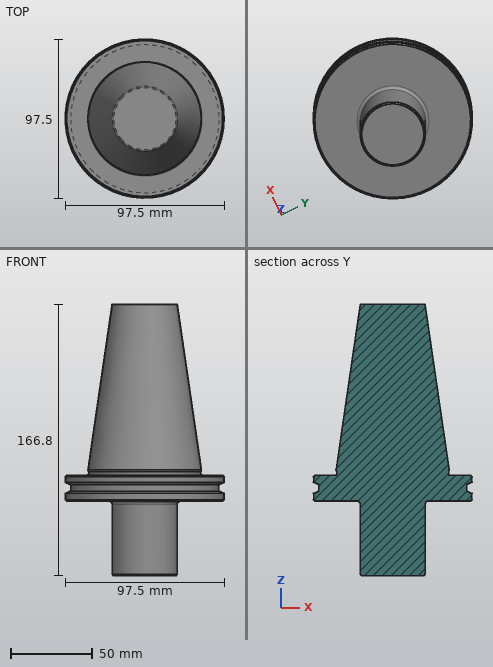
import cadquery as cq

total_height = 166.8
gauge_height = 65.0
flange_top = 61.9
flange_bottom = 45.9

taper_large_radius = 34.9
taper_rate = 7 / 24
taper_top_radius = taper_large_radius - (total_height - gauge_height) * taper_rate / 2
taper_top_round = 0.7

neck_radius = 34.5
neck_step_height = 1.0
neck_root_round = 0.7
neck_top = gauge_height - neck_step_height

flange_diameter = 97.5
flange_radius = flange_diameter / 2
flange_chamfer = 1.0
groove_floor_radius = 45.5
groove_floor_width = 3.8
groove_center = 54.0
groove_wall_rise = 1.5
groove_floor_half = groove_floor_width / 2
groove_mouth_half = groove_floor_half + groove_wall_rise

shank_radius = 20.0
shank_chamfer = 1.0
shank_root_round = 2.0


def make_body():
    """Revolve the taper, neck, flange and shank about Z."""
    half_profile = (
        cq.Workplane("XZ")
        .lineTo(shank_radius, 0)
        .lineTo(shank_radius, flange_bottom)
        .lineTo(flange_radius, flange_bottom)
        .lineTo(flange_radius, flange_top)
        .lineTo(neck_radius, flange_top)
        .lineTo(neck_radius, neck_top)
        .lineTo(taper_large_radius, gauge_height)
        .lineTo(taper_top_radius, total_height)
        .lineTo(0, total_height)
        .close()
    )
    return half_profile.revolve(360, (0, 0, 0), (0, 1, 0))


def make_groove():
    """Revolve the gripper groove's V-sided section about Z."""
    section = (
        cq.Workplane("XZ")
        .moveTo(groove_floor_radius, groove_center - groove_floor_half)
        .lineTo(flange_radius, groove_center - groove_mouth_half)
        .lineTo(flange_radius, groove_center + groove_mouth_half)
        .lineTo(groove_floor_radius, groove_center + groove_floor_half)
        .close()
    )
    return section.revolve(360, (0, 0, 0), (0, 1, 0))


def circle_at(radius, height):
    """Select the circular edge of the given radius and height."""
    tolerance = 0.02
    reach = radius + tolerance
    inner = radius - tolerance
    return cq.selectors.BoxSelector(
        (-reach, -reach, height - tolerance), (reach, reach, height + tolerance), boundingbox=True
    ) - cq.selectors.BoxSelector(
        (-inner, -inner, height - tolerance), (inner, inner, height + tolerance), boundingbox=True
    )


body = make_body()

body = body.edges(circle_at(flange_radius, flange_top)).chamfer(flange_chamfer)
body = body.edges(circle_at(flange_radius, flange_bottom)).chamfer(flange_chamfer)
body = body.edges(circle_at(shank_radius, 0)).chamfer(shank_chamfer)
body = body.edges(circle_at(taper_top_radius, total_height)).fillet(taper_top_round)

body = body.edges(circle_at(neck_radius, flange_top)).fillet(neck_root_round)
body = body.edges(circle_at(shank_radius, flange_bottom)).fillet(shank_root_round)

result = body.cut(make_groove())